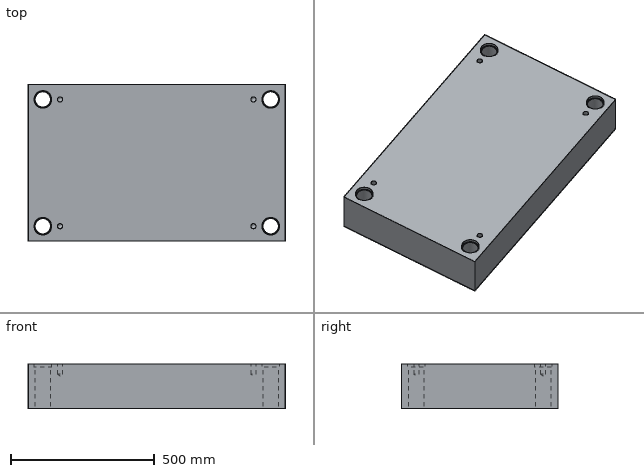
import cadquery as cq
import math

length = 896.0
width = 545.5
height = 156.0

corner_inset_x = 51.0
corner_inset_y = 52.0
bore_diameter = 54.0
counterbore_diameter = 61.0
counterbore_depth = 11.0

small_hole_spacing = 60.0
small_hole_diameter = 18.0
small_hole_depth = 36.0
drill_point_angle = 118.0

corner_x = length / 2 - corner_inset_x
corner_y = width / 2 - corner_inset_y
small_hole_x = corner_x - small_hole_spacing


def mirrored_points(x, y):
    """Four points placed symmetrically about the X and Y axes."""
    return [(sx * x, sy * y) for sx in (-1, 1) for sy in (-1, 1)]


def drilled_hole_cutter(diameter, depth, point_angle):
    """Cutter hanging below Z = 0: a cylinder of the given depth ending in a cone."""
    radius = diameter / 2
    point_length = radius / math.tan(math.radians(point_angle / 2))
    return (
        cq.Workplane("XZ")
        .polyline([(0, 0), (radius, 0), (radius, -depth), (0, -depth - point_length)])
        .close()
        .revolve(360, (0, 0), (0, 1))
    )


block = cq.Workplane("XY").box(length, width, height)

result = (
    block.faces(">Z").workplane()
    .pushPoints(mirrored_points(corner_x, corner_y))
    .cboreHole(bore_diameter, counterbore_diameter, counterbore_depth)
)

small_hole = drilled_hole_cutter(small_hole_diameter, small_hole_depth, drill_point_angle)
for x, y in mirrored_points(small_hole_x, corner_y):
    result = result.cut(small_hole.translate((x, y, height / 2)))